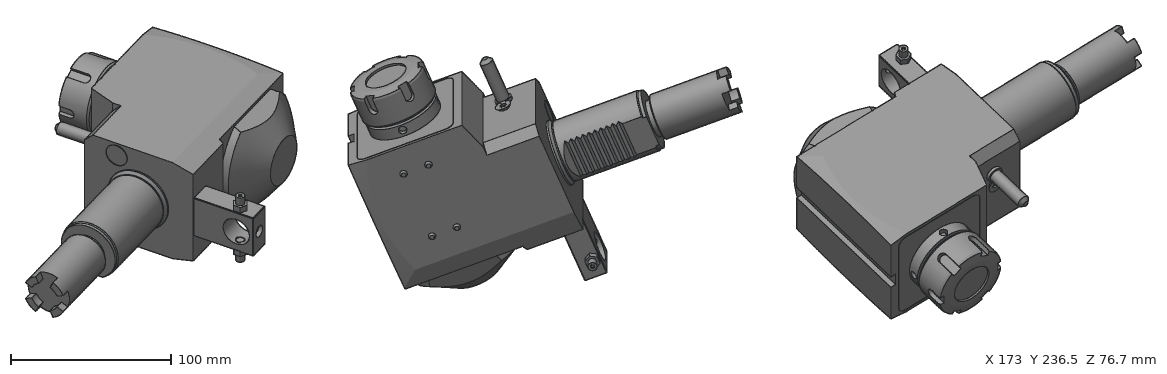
import cadquery as cq
import math


body_height = 75.0
body_half = body_height / 2
foot_half = 39.3
body_left = -58.5
body_right = 35.7
body_back = 118.5
foot_left_top = 35.2
foot_right_top = 37.4
shoulder_left = 41.9
shoulder_right = 39.3
taper_start = 24.4
taper_angle = 14
foot_chamfer = 6.2
crown_x = -16.3
crown_radius = 114.3
crown_angle = 10
crown_reach = 142
back_slot_width = 10.0
back_slot_depth = 3.8
plug_x, plug_z = -16.0, 28.0
plug_radius = 7.5
plug_recess = 0.5
stud_height = 1.7
stud_radius = 2.4
stud_tip_radius = 1.5
stud_xs = (-40.7, 6.5)
stud_spacing = 16.8

spindle_y = 80.0
pad_length, pad_width = 64.8, 70.0
pad_radius = 5.7
pad_rise = 0.2
collar_radius = 24.0
collar_left = -66.5
neck_radius = 20.3
nut_radius = 24.8
nut_right = -68.1
nut_shoulder = -69.5
nut_left = -90.0
nut_face = -91.0
nut_face_radius = 18.2
nut_rim = 0.5
nut_bevel = 1.7
nut_bore_radius = 13.7
nut_bore_depth = 1.5
slot_count = 6
slot_width = 6.5
slot_depth = 3.3
upper_slot_end = -74.0
slot_end = -78.5
pin_hole_x = -63.0
pin_hole_radius = 2.5
pin_hole_depth = 3.5
pin_hole_count = 4
cover_radius = 39.7
cover_rim_end = 41.5
cover_end = 58.5
cover_end_radius = 16.5
cover_flat = 31.5
cover_flat_angle = 12.4

flange_radius = 21.5
flange_rim = 1.2
flange_end = 2.8
relief_radius = 19.6
relief_end = 3.8
shank_radius = 20.0
shank_bevel_start = 60.3
shank_end = 63.2
shank_end_radius = 19.5
drive_neck_radius = 12.0
drive_start = 66.5
drive_radius = 15.0
drive_edge = 0.7
drive_face = 112.4
lug_end = 118.0
lug_inner_radius = 10.0
lug_count = 4
lug_spread = 41
flat_depth = 16.3
ramp_start = 5.2
tooth_start = 9.2
tooth_pitch = 4.0
tooth_height = 1.5
tooth_count = 10

pin_y, pin_z = 21.0, 15.8
pin_left = -71.5
pin_radius = 4.3
pin_bevel = 2.4
seat_radius = 5.5
seat_length = 2.1
screw_z = 6.2
screw_radius = 5.2
screw_base_radius = 3.5
hex_width = 4.3
hex_depth = 1.5

bracket_size = 29.8
bracket_front = 1.0
bracket_thickness = 15.1
bracket_right = 82.0
bracket_bevel = 0.5
bore_x = 69.8
bore_radius = 9.5
side_hole_radius = 4.0
clamp_y = 6.0
clamp_radius = 2.8
clamp_half_length = 25.0
clamp_recess = 0.5
nut_flats = 8.3
clamp_nut_height = 4.3
socket_width = 2.5
socket_depth = 1.5


def turned_x(points):
    """Solid turned about the spindle axis from (x, radius) points, closed along the axis."""
    outline = [(points[0][0], 0)] + points + [(points[-1][0], 0)]
    profile = cq.Workplane("XY").polyline(outline).close()
    return profile.revolve(360, (0, 0), (1, 0)).translate((0, spindle_y, 0))


def turned_shank(points):
    """Solid turned about the shank axis from (radius, distance from flange face) points."""
    outline = [(0, points[0][1])] + points + [(0, points[-1][1])]
    profile = cq.Workplane("XY").polyline([(r, -d) for r, d in outline]).close()
    return profile.revolve(360, (0, 0), (0, 1))


def rod_x(x_start, x_end, y, z, radius):
    plane = cq.Workplane("YZ", origin=(x_start, 0, 0))
    return plane.center(y, z).circle(radius).extrude(x_end - x_start)


def crown_limit():
    """Flat-topped turned envelope that slopes the top and bottom at the back of the housing."""
    edge_half = body_half - (crown_reach - crown_radius) * math.tan(math.radians(crown_angle))
    outline = [
        (0, -body_half),
        (crown_radius, -body_half),
        (crown_reach, -edge_half),
        (crown_reach, edge_half),
        (crown_radius, body_half),
        (0, body_half),
    ]
    profile = cq.Workplane("XZ").polyline(outline).close()
    return profile.revolve(360, (0, 0), (0, 1)).translate((crown_x, 0, 0))


def taper_limit():
    """Section along Y that narrows the housing toward its right side."""
    drop = (foot_half - taper_start) * math.tan(math.radians(taper_angle))
    outline = [
        (body_left, -body_half),
        (taper_start, -body_half),
        (foot_half, -body_half + drop),
        (foot_half, body_half - drop),
        (taper_start, body_half),
        (body_left, body_half),
    ]
    return cq.Workplane("XZ").polyline(outline).close().extrude(-body_back)


def make_body():
    outline = [
        (-foot_half, 0),
        (foot_half, 0),
        (foot_half, foot_right_top),
        (body_right, shoulder_right),
        (body_right, body_back),
        (body_left, body_back),
        (body_left, shoulder_left),
        (-foot_half, foot_left_top),
    ]
    body = cq.Workplane("XY").polyline(outline).close().extrude(body_half, both=True)
    body = body.intersect(taper_limit()).intersect(crown_limit())

    for side in (1, -1):
        corner = [
            (-foot_half, side * body_half),
            (-foot_half + foot_chamfer, side * body_half),
            (-foot_half, side * (body_half - foot_chamfer)),
        ]
        body = body.cut(cq.Workplane("XZ").polyline(corner).close().extrude(-foot_left_top))

    back_slot = cq.Workplane("XY").box(4 * foot_half, 2 * back_slot_depth, back_slot_width)
    body = body.cut(back_slot.translate((0, body_back, 0)))

    plug = cq.Workplane("XZ").center(plug_x, plug_z).circle(plug_radius).extrude(-plug_recess)
    return body.cut(plug)


def make_studs():
    """Small tapered studs under the housing."""
    points = [(x, spindle_y + s * stud_spacing / 2) for x in stud_xs for s in (-1, 1)]
    studs = cq.Workplane("XY", origin=(0, 0, -body_half)).pushPoints(points).circle(stud_radius)
    taper = math.degrees(math.atan((stud_radius - stud_tip_radius) / stud_height))
    return studs.extrude(-stud_height, taper=taper)


def make_nut():
    pad = (
        cq.Workplane("XY")
        .box(2 * pad_rise, pad_length, pad_width)
        .edges("|X")
        .fillet(pad_radius)
        .translate((body_left, spindle_y, 0))
    )
    nut = turned_x([
        (nut_face, nut_face_radius),
        (nut_left, nut_radius - nut_rim),
        (nut_left + nut_bevel, nut_radius),
        (nut_shoulder, nut_radius),
        (nut_right, collar_radius),
        (nut_right, neck_radius),
        (collar_left, neck_radius),
        (collar_left, collar_radius),
        (body_left, collar_radius),
    ])
    nut = nut.cut(rod_x(nut_face, nut_face + nut_bore_depth, spindle_y, 0, nut_bore_radius))

    for i in range(slot_count):
        angle = 90 + i * 360 / slot_count
        is_upper = math.cos(math.radians(angle)) > 0.5
        nut = nut.cut(nut_slot(upper_slot_end if is_upper else slot_end, angle))
    for i in range(pin_hole_count):
        hole = cq.Workplane("XY", origin=(pin_hole_x, spindle_y, collar_radius - pin_hole_depth))
        hole = hole.circle(pin_hole_radius).extrude(2 * pin_hole_depth)
        nut = nut.cut(about_spindle(hole, i * 360 / pin_hole_count))
    return nut.union(pad)


def about_spindle(shape, angle):
    return shape.rotate((0, spindle_y, 0), (1, spindle_y, 0), angle)


def nut_slot(end_x, angle):
    """Round-ended wrench slot, open at the nut's face."""
    radius = slot_width / 2
    slot = (
        cq.Workplane("XY", origin=(0, spindle_y, nut_radius - slot_depth))
        .moveTo(nut_face, -radius)
        .lineTo(end_x - radius, -radius)
        .threePointArc((end_x, 0), (end_x - radius, radius))
        .lineTo(nut_face, radius)
        .close()
        .extrude(2 * slot_depth)
    )
    return about_spindle(slot, angle)


def make_cover():
    cover = turned_x([
        (body_right, cover_radius),
        (cover_rim_end, cover_radius),
        (cover_end, cover_end_radius),
    ])
    slope = math.tan(math.radians(cover_flat_angle))
    start_half = cover_flat + (cover_rim_end - body_right) * slope
    end_half = cover_flat - (cover_end - cover_rim_end) * slope
    outline = [
        (body_right, -start_half),
        (cover_end, -end_half),
        (cover_end, end_half),
        (body_right, start_half),
    ]
    limit = cq.Workplane("XZ").polyline(outline).close().extrude(-(spindle_y + cover_flat))
    return cover.intersect(limit)


def make_shank():
    flange = turned_shank([(flange_radius, 0), (flange_radius, flange_rim), (relief_radius, flange_end)])
    shank = turned_shank([
        (relief_radius, 0),
        (relief_radius, relief_end),
        (shank_radius, relief_end),
        (shank_radius, shank_bevel_start),
        (shank_end_radius, shank_bevel_start + shank_radius - shank_end_radius),
        (shank_end_radius, shank_end),
        (drive_neck_radius, shank_end),
        (drive_neck_radius, drive_start),
        (drive_radius - drive_edge, drive_start),
        (drive_radius, drive_start + drive_edge),
        (drive_radius, lug_end),
    ])
    return shank.cut(toothed_flat()).cut(lug_gaps()).union(flange)


def toothed_flat():
    """Cutter that leaves a ramp, a row of V-shaped grooves and a flat under the shank."""
    points = [(-ramp_start, -shank_radius)]
    for i in range(tooth_count):
        valley = -tooth_start - i * tooth_pitch
        points += [(valley, tooth_height - flat_depth), (valley - tooth_pitch / 2, -flat_depth)]
    points += [(-drive_start, -flat_depth), (-drive_start, -shank_radius)]
    return cq.Workplane("YZ").polyline(points).close().extrude(shank_radius, both=True)


def lug_gaps():
    """Cutter that clears the end of the drive shaft except for the lugs."""
    face = cq.Workplane("XZ", origin=(0, -drive_face, 0))
    height = lug_end - drive_face
    ring = face.circle(2 * drive_radius).circle(lug_inner_radius).extrude(height)
    half = math.radians(lug_spread / 2)
    reach = 4 * drive_radius
    sector = (
        face.lineTo(reach * math.cos(half), -reach * math.sin(half))
        .lineTo(reach * math.cos(half), reach * math.sin(half))
        .close()
        .extrude(height)
    )
    gaps = face.circle(2 * drive_radius).extrude(height)
    for i in range(lug_count):
        middle = 360 / lug_count * (i + 0.5)
        gaps = gaps.cut(ring.intersect(sector.rotate((0, 0, 0), (0, 1, 0), middle)))
    return gaps


def make_coolant_pin():
    pin = rod_x(pin_left, -foot_half, pin_y, pin_z, pin_radius).faces("<X").chamfer(pin_bevel)
    return pin.union(rod_x(-foot_half - seat_length, -foot_half, pin_y, pin_z, seat_radius))


def make_side_screw():
    head_left = -foot_half - seat_length
    face = cq.Workplane("YZ", origin=(head_left, pin_y, screw_z))
    taper = math.degrees(math.atan((screw_radius - screw_base_radius) / seat_length))
    head = face.circle(screw_radius).extrude(seat_length, taper=taper)
    return head.cut(face.polygon(6, hex_width).extrude(hex_depth))


def make_bracket():
    half = bracket_size / 2
    length = bracket_right - foot_half
    from_corner = (False, False, True)
    bracket = cq.Workplane("XY").box(length, bracket_thickness, bracket_size, centered=from_corner)
    bracket = bracket.edges("|X or >X").chamfer(bracket_bevel)
    bracket = bracket.translate((foot_half, bracket_front, 0))

    clamp = cq.Workplane("XY", origin=(bore_x, clamp_y, 0))
    bracket = bracket.union(clamp.circle(clamp_radius).extrude(clamp_half_length, both=True))
    nut_diameter = nut_flats / math.cos(math.radians(30))
    nuts = clamp.polygon(6, nut_diameter).extrude(half + clamp_nut_height, both=True)
    bracket = bracket.union(nuts)
    socket_bottom = clamp_half_length - socket_depth
    sockets = clamp.polygon(6, socket_width).extrude(clamp_half_length, both=True)
    sockets = sockets.cut(clamp.circle(clamp_radius).extrude(socket_bottom, both=True))

    bore = cq.Workplane("XZ", origin=(bore_x, 0, 0)).circle(bore_radius).extrude(-2 * bracket_thickness)
    screw_ends = clamp.circle(clamp_radius).extrude(bore_radius + clamp_recess, both=True)
    side_hole = rod_x(bore_x, bracket_right, bracket_front + bracket_thickness / 2, 0, side_hole_radius)
    return bracket.cut(sockets).cut(bore).cut(screw_ends).cut(side_hole)


result = (
    make_body()
    .union(make_studs())
    .union(make_nut())
    .union(make_cover())
    .union(make_shank())
    .union(make_coolant_pin())
    .union(make_side_screw())
    .union(make_bracket())
)